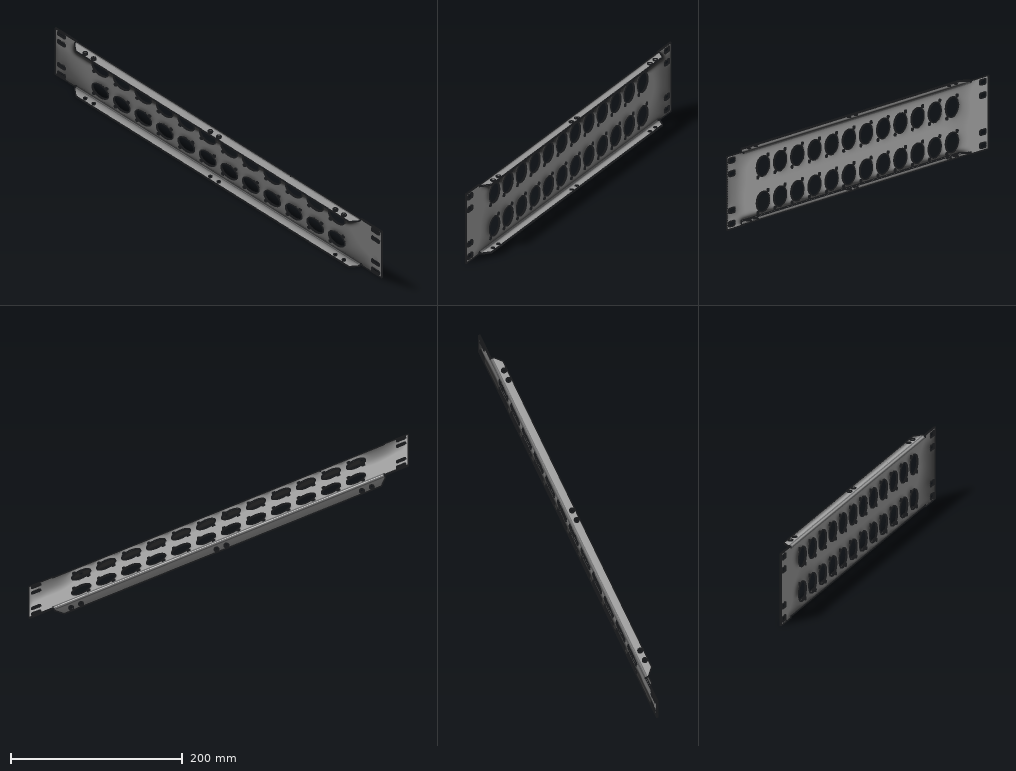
import cadquery as cq

panel_width = 482.5
panel_height = 88.5
sheet = 1.5

flange_depth = 12.5
flange_width = 421.0
bend_inner_radius = 1.2
bend_outer_radius = bend_inner_radius + sheet
flange_chamfer_along = 8.5
flange_chamfer_deep = 8.0

flange_hole_dia = 3.5
flange_sink_dia = 6.0
sink_angle = 90
drill_depth = 2 * sheet
flange_hole_from_back = 8.5
flange_hole_pitch = 12.5
outer_pair_offset = 185.0
pair_centres = (-outer_pair_offset, 0, outer_pair_offset)

slot_length = 11.5
slot_height = 6.5
slot_corner_radius = 2.0
slot_x = 232.0
slot_outer_z = 38.0
slot_inner_z = 22.0

connector_count = 12
connector_row_length = 349.5
connector_pitch = connector_row_length / (connector_count - 1)
upper_row_from_top = 24.5
upper_row_z = panel_height / 2 - upper_row_from_top
lower_row_z = -23.0
row_heights = (upper_row_z, lower_row_z)
connector_dia = 24.0
screw_dia = 3.5
screw_spacing_x = 19.0
screw_spacing_z = 24.0


def folded_channel():
    """C-shaped sheet with bent top and bottom flanges over the flange width."""

    def block(front, back, height, radius):
        body = (
            cq.Workplane("XY")
            .box(flange_width, back - front, height, centered=(True, False, True))
            .translate((0, front, 0))
        )
        return body.edges("|X and >Y").fillet(radius)

    outer = block(-flange_depth, 0, panel_height, bend_outer_radius)
    inner = block(-flange_depth, -sheet, panel_height - 2 * sheet, bend_inner_radius)
    return outer.cut(inner)


def flange_corner_cutters():
    """Triangular prisms that slope the free corners of both flanges."""
    half = flange_width / 2
    cutters = cq.Workplane("XY")
    for side in (-1, 1):
        corner = (
            cq.Workplane("XY", origin=(0, 0, -panel_height / 2))
            .moveTo(side * half, -flange_depth)
            .lineTo(side * (half - flange_chamfer_along), -flange_depth)
            .lineTo(side * half, -flange_depth + flange_chamfer_deep)
            .close()
            .extrude(panel_height)
        )
        cutters = cutters.add(corner)
    return cutters.combine()


def panel_ends():
    """Flat, full-height ears beyond the ends of the flanges."""
    ear_width = (panel_width - flange_width) / 2
    ear_centre = (panel_width - ear_width) / 2
    return (
        cq.Workplane("XZ")
        .pushPoints([(-ear_centre, 0), (ear_centre, 0)])
        .rect(ear_width, panel_height)
        .extrude(sheet)
    )


def flange_hole_points(outward):
    """Hole centres on a flange plane whose normal points along outward * Z."""
    return [
        (centre + side * flange_hole_pitch / 2, -outward * flange_hole_from_back)
        for centre in pair_centres
        for side in (-1, 1)
    ]


def drill_flange(body, outward):
    """Countersink one flange from its outer face."""
    outer_face = cq.Plane(
        origin=(0, 0, outward * panel_height / 2),
        xDir=(1, 0, 0),
        normal=(0, 0, outward),
    )
    return (
        body.copyWorkplane(cq.Workplane(outer_face))
        .pushPoints(flange_hole_points(outward))
        .cskHole(flange_hole_dia, flange_sink_dia, sink_angle, depth=drill_depth)
    )


def rack_slots():
    """Round-cornered slots, four in each ear."""
    points = [
        (side * slot_x, level * z)
        for side in (-1, 1)
        for level in (-1, 1)
        for z in (slot_inner_z, slot_outer_z)
    ]
    blanks = cq.Workplane("XZ").pushPoints(points).rect(slot_length, slot_height).extrude(sheet)
    return blanks.edges("|Y").fillet(slot_corner_radius)


def connector_cutouts():
    """Round connector openings and the screw holes at their opposite corners."""
    first_x = -connector_row_length / 2
    centres = [
        (first_x + column * connector_pitch, z)
        for z in row_heights
        for column in range(connector_count)
    ]
    screws = [
        (x + side * screw_spacing_x / 2, z + side * screw_spacing_z / 2)
        for x, z in centres
        for side in (-1, 1)
    ]
    openings = cq.Workplane("XZ").pushPoints(centres).circle(connector_dia / 2).extrude(sheet)
    screw_holes = cq.Workplane("XZ").pushPoints(screws).circle(screw_dia / 2).extrude(sheet)
    return openings, screw_holes


result = folded_channel().cut(flange_corner_cutters()).union(panel_ends())
for flange_side in (-1, 1):
    result = drill_flange(result, flange_side)
result = result.cut(rack_slots())
for cutter in connector_cutouts():
    result = result.cut(cutter)